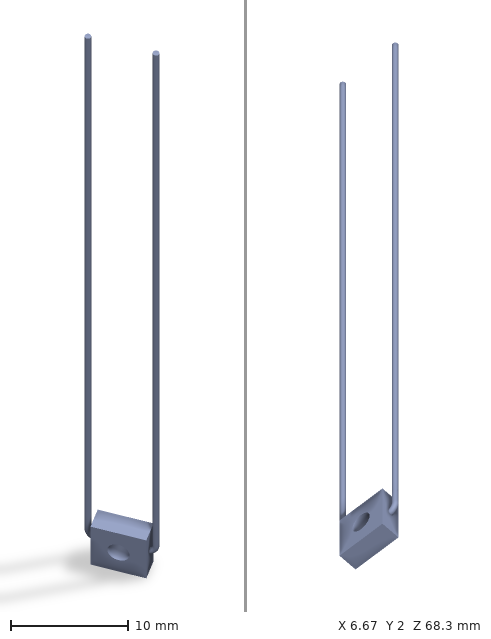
import cadquery as cq

block_side = 5.0
block_depth = 2.0
hole_diameter = 2.0
block_mid_height = block_side / 2

lead_spacing = 6.1
lead_diameter = 0.57
lead_top = 68.34
bend_radius = 0.9

lead_x = lead_spacing / 2
bend_end_x = lead_x - bend_radius
bend_start_height = block_mid_height + bend_radius


def make_block():
    """Block standing on Z = 0, centred in X and Y, with its central hole."""
    block = cq.Workplane("XY").box(
        block_side, block_depth, block_side, centered=(True, True, False)
    )
    return block.faces("<Y").workplane(centerOption="CenterOfBoundBox").hole(hole_diameter)


def make_lead(side):
    """Bent wire on one side of the block; side is -1 for -X and +1 for +X."""
    path = (
        cq.Workplane("XZ")
        .moveTo(side * lead_x, lead_top)
        .lineTo(side * lead_x, bend_start_height)
        .tangentArcPoint((side * bend_end_x, block_mid_height), relative=False)
    )
    profile = cq.Workplane("XY", origin=(side * lead_x, 0, lead_top)).circle(lead_diameter / 2)
    return profile.sweep(path)


result = make_block()
for lead_side in (-1, 1):
    result = result.union(make_lead(lead_side))